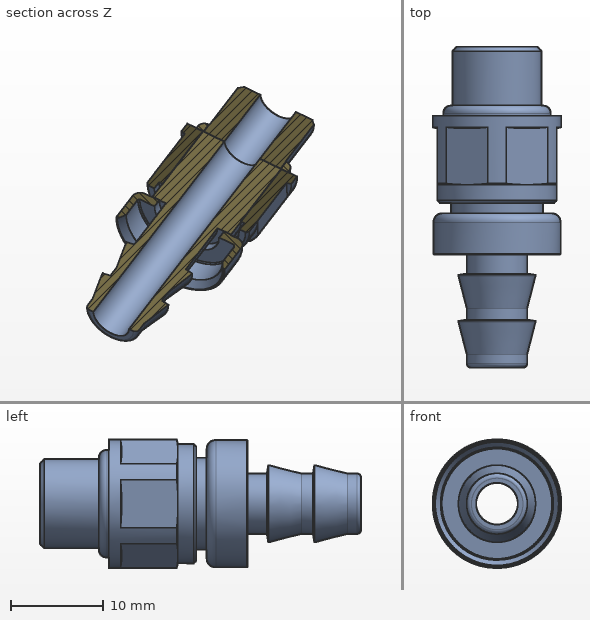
import cadquery as cq
import math


bore_radius = 2.25
stem_radius = 3.3
tip_rounding = 0.5
barb_radius = 4.2
barb_starts = (1.5, 6.5)
barb_cone_length = 3.5
barb_rim_width = 0.1
barb_back_length = 0.15

neck_radius = 5.02
neck_front = 16.8

cup_radius = 6.93
cup_length = 4.5
cup_front = neck_front - cup_length
cup_rounding = 1.0
cup_floor_thickness = 1.0
cup_inner_radius = 6.13
cup_corner_chamfer = 0.15
cup_mouth_radius = 6.7
cup_flare_length = 0.9
cup_lip_chamfer = 0.1
cup_hole_radius = 4.1

nut_radius = 7.0
nut_length = 9.5
nut_front = neck_front + 1.1
nut_rear = nut_front + nut_length
nut_sleeve_radius = 6.5
nut_sleeve_length = 2.0
nut_front_chamfer = 0.3
nut_mouth_radius = 5.4
nut_mouth_depth = 1.0
nut_shoulder_slope = 0.13
flat_count = 6
flat_distance = nut_sleeve_radius
flat_rear = nut_rear - 1.4

ring_radius = 5.85
ring_length = 1.1
ring_rounding = 0.85
spigot_radius = 4.864
spigot_chamfer = 0.5
spigot_rear = 34.9


def turn(outline):
    """Revolve a closed (radius, Y) outline about the Y axis."""
    return outline.close().revolve(360, (0, 0, 0), (0, 1, 0))


def outline_from(radius, y):
    return cq.Workplane("XY").moveTo(radius, y)


def corner_arc(outline, center_radius, center_y, rounding, start_degrees, end_degrees):
    """Draw a round corner from the current point, about the given center."""
    middle = math.radians((start_degrees + end_degrees) / 2)
    end = math.radians(end_degrees)
    return outline.threePointArc(
        (center_radius + rounding * math.cos(middle), center_y + rounding * math.sin(middle)),
        (center_radius + rounding * math.cos(end), center_y + rounding * math.sin(end)),
    )


def make_stem():
    outline = outline_from(bore_radius, 0).lineTo(stem_radius - tip_rounding, 0)
    outline = corner_arc(outline, stem_radius - tip_rounding, tip_rounding, tip_rounding, -90, 0)
    for start in barb_starts:
        rim = start + barb_cone_length
        rim_end = rim + barb_rim_width
        outline = (
            outline.lineTo(stem_radius, start)
            .lineTo(barb_radius, rim)
            .lineTo(barb_radius, rim_end)
            .lineTo(stem_radius, rim_end + barb_back_length)
        )
    outline = (
        outline.lineTo(stem_radius, neck_front)
        .lineTo(neck_radius, neck_front)
        .lineTo(neck_radius, nut_rear)
        .lineTo(bore_radius, nut_rear)
    )
    return turn(outline)


def make_cup():
    floor = neck_front - cup_floor_thickness
    outline = (
        outline_from(cup_hole_radius, neck_front)
        .lineTo(cup_hole_radius, floor)
        .lineTo(cup_inner_radius - cup_corner_chamfer, floor)
        .lineTo(cup_inner_radius, floor - cup_corner_chamfer)
        .lineTo(cup_inner_radius, cup_front + cup_flare_length)
        .lineTo(cup_mouth_radius, cup_front)
        .lineTo(cup_radius - cup_lip_chamfer, cup_front)
        .lineTo(cup_radius, cup_front + cup_lip_chamfer)
        .lineTo(cup_radius, neck_front - cup_rounding)
    )
    center = (cup_radius - cup_rounding, neck_front - cup_rounding)
    return turn(corner_arc(outline, *center, cup_rounding, 0, 90))


def make_nut():
    sleeve_rear = nut_front + nut_sleeve_length
    blank = turn(
        outline_from(neck_radius, nut_front + nut_mouth_depth)
        .lineTo(nut_mouth_radius, nut_front + nut_mouth_depth)
        .lineTo(nut_mouth_radius, nut_front)
        .lineTo(nut_sleeve_radius - nut_front_chamfer, nut_front)
        .lineTo(nut_sleeve_radius, nut_front + nut_front_chamfer)
        .lineTo(nut_sleeve_radius, sleeve_rear)
        .lineTo(nut_radius, sleeve_rear + nut_shoulder_slope)
        .lineTo(nut_radius, nut_rear)
        .lineTo(neck_radius, nut_rear)
    )
    return blank.cut(make_flat_cutter())


def make_flat_cutter():
    """Ring with a hexagonal opening and a sloped rear end; it leaves the nut's flats."""
    outer_radius = nut_radius + 1
    slope = nut_shoulder_slope / (nut_radius - flat_distance)
    rear_at_outer = flat_rear + slope * (outer_radius - flat_distance)
    ring = turn(
        outline_from(0, nut_front)
        .lineTo(outer_radius, nut_front)
        .lineTo(outer_radius, rear_at_outer)
        .lineTo(flat_distance, flat_rear)
        .lineTo(0, flat_rear)
    )
    corner_diameter = 2 * flat_distance / math.cos(math.pi / flat_count)
    core = (
        cq.Workplane("XZ", origin=(0, nut_front, 0))
        .transformed(rotate=(0, 0, 180 / flat_count))
        .polygon(flat_count, corner_diameter)
        .extrude(-nut_length)
    )
    return ring.cut(core)


def make_ring():
    ring_rear = nut_rear + ring_length
    outline = (
        outline_from(spigot_radius, nut_rear)
        .lineTo(ring_radius, nut_rear)
        .lineTo(ring_radius, ring_rear - ring_rounding)
    )
    center = (ring_radius - ring_rounding, ring_rear - ring_rounding)
    outline = corner_arc(outline, *center, ring_rounding, 0, 90)
    return turn(outline.lineTo(spigot_radius, ring_rear))


def make_spigot():
    return turn(
        outline_from(bore_radius, nut_rear)
        .lineTo(spigot_radius, nut_rear)
        .lineTo(spigot_radius, spigot_rear - spigot_chamfer)
        .lineTo(spigot_radius - spigot_chamfer, spigot_rear)
        .lineTo(bore_radius, spigot_rear)
    )


stem = make_stem()
cup = make_cup()
nut = make_nut()
ring = make_ring()
spigot = make_spigot()

result = cq.Compound.makeCompound([stem.val(), cup.val(), nut.val(), ring.val(), spigot.val()])